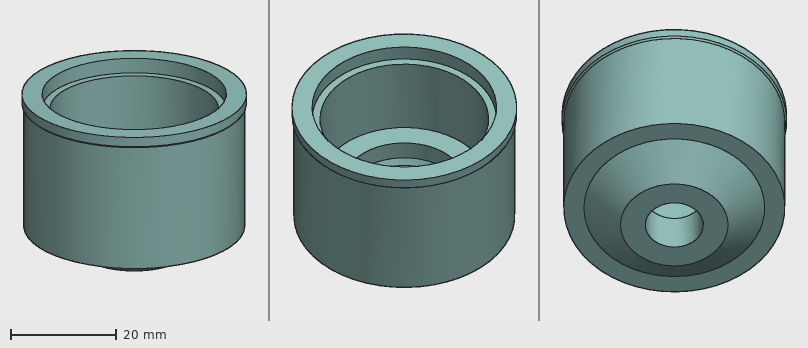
import cadquery as cq

total_height = 32.2
flange_height = 2.25
flange_taper_height = 0.35
nose_height = 5.05

flange_diameter = 42.7
body_diameter = 42.0
nose_top_diameter = 34.35
nose_tip_diameter = 20.4

recess_diameter = 35.0
recess_depth = 3.0
bore_diameter = 32.02
bore_depth = 18.85
pocket_diameter = 23.0
pocket_floor_diameter = 21.5
pocket_depth = 5.0
pocket_taper_height = 1.3
hole_diameter = 11.0

flange_bottom = total_height - flange_height
recess_floor = total_height - recess_depth
bore_floor = total_height - bore_depth
pocket_floor = bore_floor - pocket_depth

half_section = [
    (hole_diameter / 2, 0),
    (nose_tip_diameter / 2, 0),
    (nose_top_diameter / 2, nose_height),
    (body_diameter / 2, nose_height),
    (body_diameter / 2, flange_bottom),
    (flange_diameter / 2, flange_bottom + flange_taper_height),
    (flange_diameter / 2, total_height),
    (recess_diameter / 2, total_height),
    (recess_diameter / 2, recess_floor),
    (bore_diameter / 2, recess_floor),
    (bore_diameter / 2, bore_floor),
    (pocket_diameter / 2, bore_floor),
    (pocket_diameter / 2, pocket_floor + pocket_taper_height),
    (pocket_floor_diameter / 2, pocket_floor),
    (hole_diameter / 2, pocket_floor),
]

result = cq.Workplane("XZ").polyline(half_section).close().revolve(360, (0, 0, 0), (0, 1, 0))